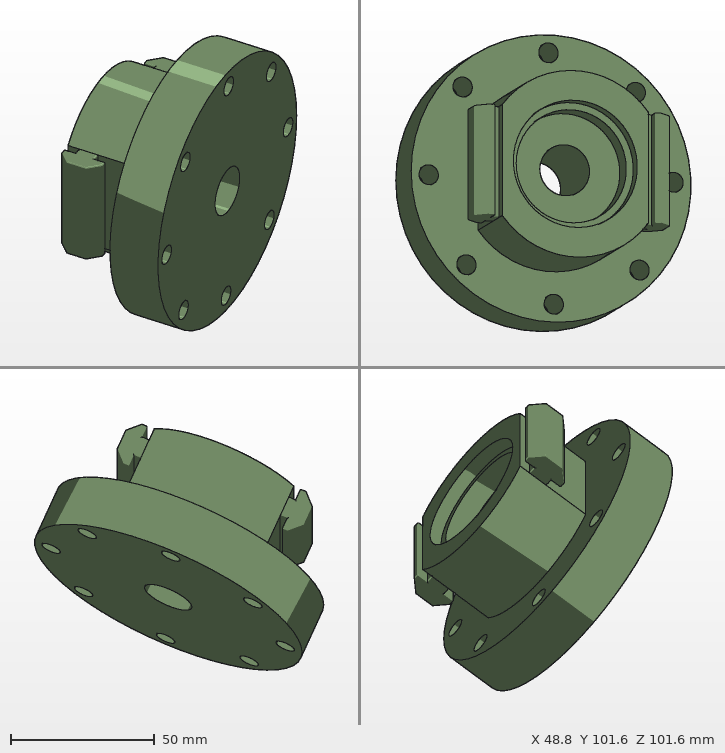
import cadquery as cq


flange_diameter = 101.6
flange_thickness = 19.05

overall_length = 48.77
hub_length = overall_length - flange_thickness
hub_diameter = 66.0
hub_width = 53.0

rim_bore_diameter = 45.0
rim_bore_depth = 5.0
seat_bore_diameter = 40.0
seat_bore_depth = 13.0
through_bore_diameter = 18.0

bolt_hole_count = 8
bolt_hole_diameter = 7.0
bolt_circle_diameter = 88.9
bolt_circle_rotation = -1.25

head_width = 16.2
stem_width = 7.6
stem_height = 2.5
head_side_height = 2.15
head_slope = (head_width - stem_width) / 2
rail_height = stem_height + head_side_height + head_slope
rail_length = (hub_diameter**2 - hub_width**2) ** 0.5
rail_edge_radius = 0.5
rail_root_overlap = 1.0


def disc(diameter, start, length):
    """Cylinder along +X, starting at X = start."""
    return cq.Workplane("YZ", origin=(start, 0, 0)).circle(diameter / 2).extrude(length)


def hub():
    flats = cq.Workplane("XY").box(2 * hub_length, hub_width, hub_diameter)
    return disc(hub_diameter, 0, hub_length).intersect(flats)


def rail():
    """T-shaped rail on the +Y flat, its head flush with the hub's free end."""
    flat_y = hub_width / 2
    root_y = flat_y - rail_root_overlap
    head_y = flat_y + stem_height
    shoulder_y = head_y + head_side_height
    tip_y = flat_y + rail_height
    stem_start = head_slope
    stem_end = stem_start + stem_width
    profile = [
        (stem_start, root_y),
        (stem_start, head_y),
        (0, head_y),
        (0, shoulder_y),
        (stem_start, tip_y),
        (stem_end, tip_y),
        (head_width, shoulder_y),
        (head_width, head_y),
        (stem_end, head_y),
        (stem_end, root_y),
    ]
    bar = cq.Workplane("XY").polyline(profile).close().extrude(rail_length / 2, both=True)
    return bar.edges("#Z or <X or >X or >Y").fillet(rail_edge_radius)


def stepped_bore():
    bore = disc(through_bore_diameter, 0, overall_length)
    bore = bore.union(disc(seat_bore_diameter, 0, seat_bore_depth))
    return bore.union(disc(rim_bore_diameter, 0, rim_bore_depth))


def bolt_holes():
    return (
        cq.Workplane("YZ", origin=(hub_length, 0, 0))
        .polarArray(bolt_circle_diameter / 2, bolt_circle_rotation, 360, bolt_hole_count)
        .circle(bolt_hole_diameter / 2)
        .extrude(flange_thickness)
    )


flange = disc(flange_diameter, hub_length, flange_thickness)
plus_y_rail = rail()
minus_y_rail = plus_y_rail.mirror("XZ")

body = flange.union(hub()).union(plus_y_rail).union(minus_y_rail)
result = body.cut(stepped_bore()).cut(bolt_holes())